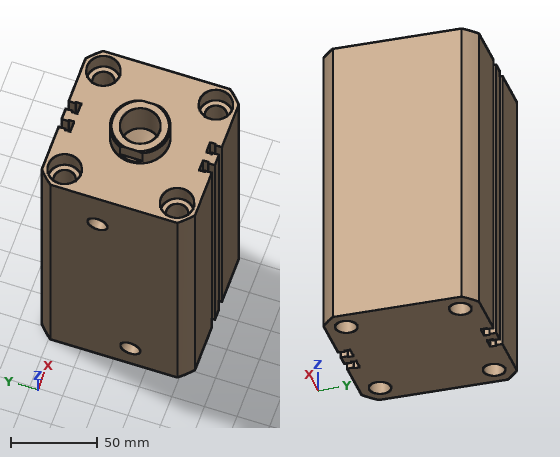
import cadquery as cq
import math

total_height = 197.0
body_width = 94.0
rod_protrusion = 13.0
body_height = total_height - rod_protrusion

corner_setback = 8.0

mount_spacing = 69.0
mount_diameter = 13.0
counterbore_diameter = 19.9
counterbore_depth = 12.6

slot_spacing = 12.6
slot_neck_width = 5.3
slot_neck_depth = 4.1
slot_head_width = 6.9
slot_depth = 7.5

port_mouth_diameter = 12.2
port_floor_diameter = 10.8
port_depth = 13.8
port_offset = 10.0
lower_port_height = 18.0
upper_port_height = 153.9

rod_diameter = 35.3
rod_chamfer = 1.0
rod_insertion = 39.4
rod_bottom = body_height - rod_insertion
flats_width = 32.5
flats_height = 10.0
rod_hole_diameter = 23.6
rod_hole_depth = 24.0
drill_point_angle = 118.0


def housing_block():
    """Square prism whose corners are arcs centred on the Z axis."""
    half = body_width / 2
    near = half - corner_setback
    middle = math.hypot(half, near) * math.sqrt(0.5)
    return (
        cq.Workplane("XY")
        .moveTo(-near, -half)
        .lineTo(near, -half)
        .threePointArc((middle, -middle), (half, -near))
        .lineTo(half, near)
        .threePointArc((middle, middle), (near, half))
        .lineTo(-near, half)
        .threePointArc((-middle, middle), (-half, near))
        .lineTo(-half, -near)
        .threePointArc((-middle, -middle), (-near, -half))
        .close()
        .extrude(body_height)
    )


def sensor_slot(center_x, side):
    """Full-height T-slot cutter; side is -1 or 1 for the -Y or +Y face."""
    face_y = side * body_width / 2
    head_height = slot_depth - slot_neck_depth
    neck = (
        cq.Workplane("XY")
        .center(center_x, face_y - side * slot_depth / 2)
        .rect(slot_neck_width, slot_depth)
        .extrude(body_height)
    )
    head = (
        cq.Workplane("XY")
        .center(center_x, face_y - side * (slot_depth - head_height / 2))
        .rect(slot_head_width, head_height)
        .extrude(body_height)
    )
    return neck.union(head)


def air_port(center_y, center_z):
    """Blind cutter for a tapered port that narrows inward from the -X face."""
    profile = (
        cq.Workplane("XY")
        .polyline([
            (0, 0),
            (0, port_mouth_diameter / 2),
            (port_depth, port_floor_diameter / 2),
            (port_depth, 0),
        ])
        .close()
    )
    cutter = profile.revolve(360, (0, 0, 0), (1, 0, 0))
    return cutter.translate((-body_width / 2, center_y, center_z))


def make_housing():
    housing = housing_block()
    housing = (
        housing.faces(">Z")
        .workplane(origin=(0, 0, body_height))
        .rect(mount_spacing, mount_spacing, forConstruction=True)
        .vertices()
        .cboreHole(mount_diameter, counterbore_diameter, counterbore_depth)
    )
    for side in (-1, 1):
        for center_x in (-slot_spacing / 2, slot_spacing / 2):
            housing = housing.cut(sensor_slot(center_x, side))
    housing = housing.cut(air_port(port_offset, upper_port_height))
    housing = housing.cut(air_port(-port_offset, lower_port_height))

    rod_bore = (
        cq.Workplane("XY", origin=(0, 0, rod_bottom))
        .circle(rod_diameter / 2)
        .extrude(rod_insertion)
    )
    return housing.cut(rod_bore)


def wrench_flat(side):
    """Cutter for the flat on one X side, with a run-out sloping down at 45 degrees."""
    flat_x = flats_width / 2
    outer_x = rod_diameter / 2
    flat_bottom = total_height - flats_height
    return (
        cq.Workplane("XZ")
        .polyline([
            (side * flat_x, total_height),
            (side * outer_x, total_height),
            (side * outer_x, flat_bottom - (outer_x - flat_x)),
            (side * flat_x, flat_bottom),
        ])
        .close()
        .extrude(outer_x, both=True)
    )


def make_rod():
    rod = (
        cq.Workplane("XY", origin=(0, 0, rod_bottom))
        .circle(rod_diameter / 2)
        .extrude(total_height - rod_bottom)
        .faces(">Z")
        .chamfer(rod_chamfer)
    )
    for side in (-1, 1):
        rod = rod.cut(wrench_flat(side))

    hole_radius = rod_hole_diameter / 2
    cone_height = hole_radius / math.tan(math.radians(drill_point_angle / 2))
    shoulder_z = total_height - rod_hole_depth
    drilled_hole = (
        cq.Workplane("XZ")
        .polyline([
            (0, total_height),
            (hole_radius, total_height),
            (hole_radius, shoulder_z),
            (0, shoulder_z - cone_height),
        ])
        .close()
        .revolve(360, (0, 0, 0), (0, 1, 0))
    )
    return rod.cut(drilled_hole)


housing = make_housing()
rod = make_rod()

result = cq.Compound.makeCompound([housing.val(), rod.val()])